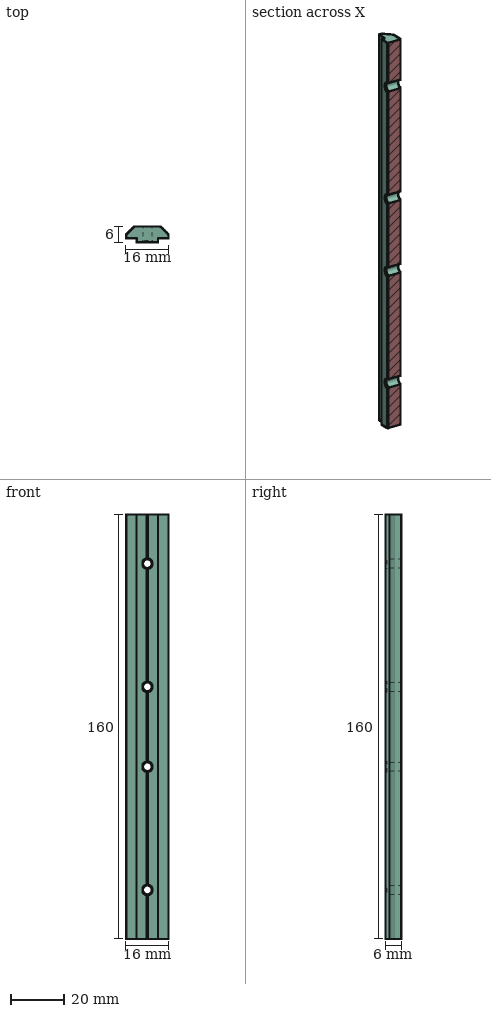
import cadquery as cq

length = 160.0
width = 16.0

tongue_width = 8.2
tongue_height = 1.5
flange_thickness = 1.4
taper_height = 3.1
edge_radius = 0.88

groove_width = 0.6
groove_depth = 0.3

hole_diameter = 3.4
mouth_diameter = 3.8
mouth_depth = 0.6
inner_hole_spacing = 30.0
outer_hole_spacing = 122.9

height = tongue_height + flange_thickness + taper_height
front_y = -height / 2
back_y = height / 2
flange_front_y = front_y + tongue_height
flange_back_y = flange_front_y + flange_thickness
back_width = width - 2 * taper_height


def rail_body():
    """Symmetric rail profile extruded along Z, with rounded edges on both ends of the taper."""
    right_half = [
        (groove_width / 2, front_y),
        (tongue_width / 2, front_y),
        (tongue_width / 2, flange_front_y),
        (width / 2, flange_front_y),
        (width / 2, flange_back_y),
        (back_width / 2, back_y),
    ]
    left_half = [(-x, y) for x, y in reversed(right_half)]
    groove_bottom = (0, front_y + groove_depth)
    profile = cq.Workplane("XY").polyline(right_half + left_half + [groove_bottom]).close()
    body = profile.extrude(length / 2, both=True)

    for x, y in [(width / 2, flange_back_y), (back_width / 2, back_y)]:
        for side in (-1, 1):
            corner = cq.selectors.NearestToPointSelector((side * x, y, 0))
            body = body.edges("|Z").edges(corner).fillet(edge_radius)
    return body


def drill_holes(body):
    """Row of stepped holes entering from the tongue face."""
    positions = [
        (0, side * spacing / 2)
        for spacing in (inner_hole_spacing, outer_hole_spacing)
        for side in (-1, 1)
    ]
    tongue_face = cq.Workplane("XZ", origin=(0, front_y, 0))
    tongue_face = tongue_face.add(body).pushPoints(positions)
    return tongue_face.cboreHole(hole_diameter, mouth_diameter, mouth_depth)


result = drill_holes(rail_body())